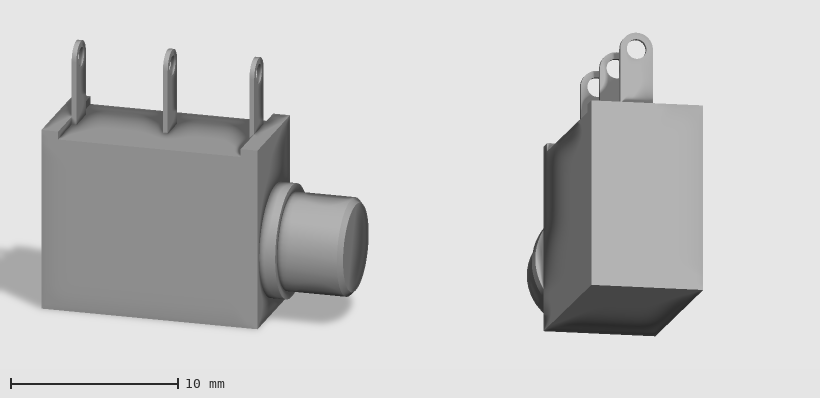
import cadquery as cq

overall_length = 18.5
overall_height = 15.8

housing_length = 13.5
housing_height = 11.3
housing_front_y = -3.85
housing_back_y = 3.0
housing_bottom_z = -4.4
housing_top_z = housing_bottom_z + housing_height

end_rib_width = 1.05
recess_depth = 0.5
recess_start_x = end_rib_width
recess_end_x = housing_length - end_rib_width
recess_length = recess_end_x - recess_start_x
recess_floor_z = housing_top_z - recess_depth

flange_radius = 3.5
flange_length = 1.0
barrel_radius = 3.0
barrel_chamfer = 0.3
barrel_start_x = housing_length + flange_length
barrel_length = overall_length - barrel_start_x

terminal_width = 2.0
terminal_thickness = 0.3
terminal_hole_diameter = 1.2
terminal_eye_z = housing_bottom_z + overall_height - terminal_width / 2
middle_terminal_x = 6.75
terminal_starts_x = (
    recess_start_x,
    middle_terminal_x,
    recess_end_x - terminal_thickness,
)

cover_thickness = 0.95
cover_height = recess_floor_z - housing_bottom_z
cover_front_y = housing_back_y - cover_thickness


def box_from_corner(corner, length, depth, height):
    """Box with its lowest X, Y, Z corner at the given point."""
    return cq.Workplane("XY").box(length, depth, height, centered=False).translate(corner)


def make_barrel():
    """Shoulder flange and barrel, with a chamfered tip."""
    flange = cq.Workplane("YZ", origin=(housing_length, 0, 0)).circle(flange_radius).extrude(flange_length)
    barrel = (
        cq.Workplane("YZ", origin=(barrel_start_x, 0, 0))
        .circle(barrel_radius)
        .extrude(barrel_length)
        .faces(">X")
        .chamfer(barrel_chamfer)
    )
    return flange.union(barrel)


def make_terminal(start_x):
    """Upright solder tag with a rounded, pierced end, standing on the recess floor."""
    half_width = terminal_width / 2
    blank = (
        cq.Workplane("YZ", origin=(start_x, 0, 0))
        .moveTo(-half_width, recess_floor_z)
        .lineTo(half_width, recess_floor_z)
        .lineTo(half_width, terminal_eye_z)
        .threePointArc((0, terminal_eye_z + half_width), (-half_width, terminal_eye_z))
        .close()
        .extrude(terminal_thickness)
    )
    eye = (
        cq.Workplane("YZ", origin=(start_x, 0, terminal_eye_z))
        .circle(terminal_hole_diameter / 2)
        .extrude(terminal_thickness)
    )
    return blank.cut(eye)


def make_cover():
    """Flat plate that closes the back of the housing between its end ribs."""
    corner = (recess_start_x, cover_front_y, housing_bottom_z)
    return box_from_corner(corner, recess_length, cover_thickness, cover_height)


def make_housing():
    """Block with the top recess, the seat for the cover, the barrel and the terminals."""
    housing_depth = housing_back_y - housing_front_y
    block = box_from_corner(
        (0, housing_front_y, housing_bottom_z), housing_length, housing_depth, housing_height
    )
    recess = box_from_corner(
        (recess_start_x, housing_front_y, recess_floor_z), recess_length, housing_depth, recess_depth
    )
    housing = block.cut(recess).cut(make_cover()).union(make_barrel())
    for start_x in terminal_starts_x:
        housing = housing.union(make_terminal(start_x))
    return housing


housing = make_housing()
cover = make_cover()

result = cq.Compound.makeCompound([housing.val(), cover.val()])